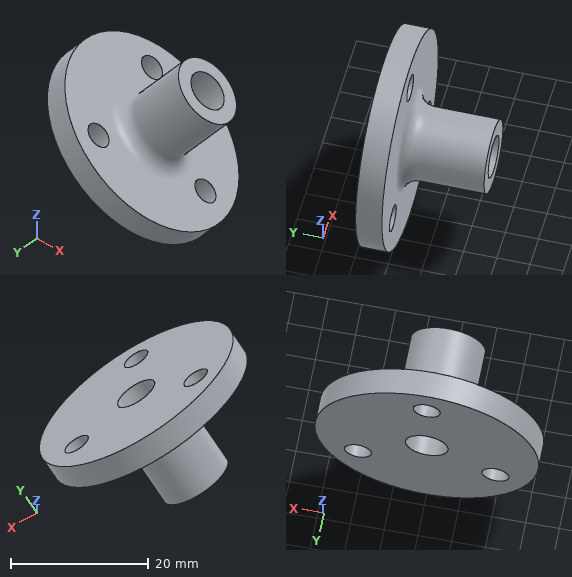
import cadquery as cq

flange_diameter = 33.2
flange_thickness = 4
total_length = 16.5
hub_diameter = 11.1
bore_diameter = 6.3
root_fillet = 2.5
bolt_hole_diameter = 4
bolt_circle_radius = 11.75
bolt_hole_count = 3
first_hole_angle = 90

flange = cq.Workplane("XZ").circle(flange_diameter / 2).extrude(flange_thickness)

body = flange.faces("<Y").workplane().circle(hub_diameter / 2).extrude(total_length - flange_thickness)

root_edge = cq.selectors.RadiusNthSelector(0)
body = body.faces("<Y[1]").edges(root_edge).fillet(root_fillet)

bore = cq.Workplane("XZ").circle(bore_diameter / 2).extrude(total_length)

bolt_holes = (
    cq.Workplane("XZ")
    .polarArray(bolt_circle_radius, first_hole_angle, 360, bolt_hole_count)
    .circle(bolt_hole_diameter / 2)
    .extrude(flange_thickness)
)

result = body.cut(bore).cut(bolt_holes)